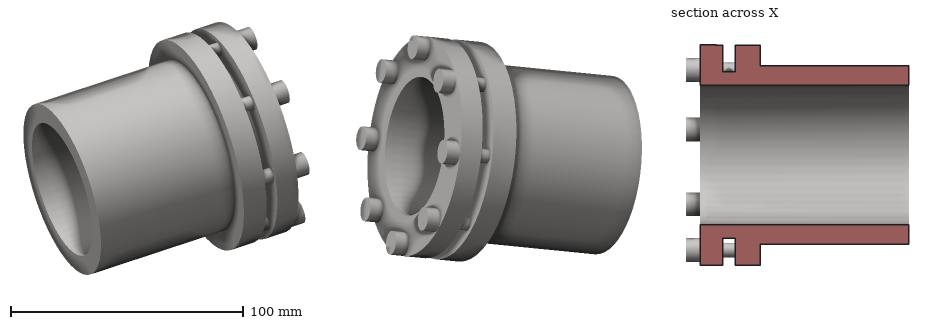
import cadquery as cq

length = 96.0
flange_diameter = 95.0
bore_diameter = 60.0

pipe_diameter = 77.2
pipe_length = 63.9
flange_thickness = 10.8
gap_width = 5.2
head_height = 6.0
cover_thickness = length - pipe_length - flange_thickness - gap_width - head_height

gasket_diameter = 72.0

bolt_count = 8
bolt_circle_radius = 42.3
first_bolt_angle = 15.0
head_diameter = 10.3
shank_diameter = 6.1

flange_start = pipe_length
gap_start = flange_start + flange_thickness
cover_start = gap_start + gap_width
head_start = cover_start + cover_thickness


def plane_at(y):
    """Work plane normal to the pipe axis, with local x along X and local y along Z."""
    return cq.Workplane("XZ", origin=(0, y, 0))


def disc(y, thickness, diameter):
    """Solid disc on the pipe axis, growing towards +Y from y."""
    return plane_at(y).circle(diameter / 2).extrude(-thickness)


def bolt_cylinders(y, height, diameter):
    """One cylinder at every bolt position, growing towards +Y from y."""
    return (
        plane_at(y)
        .polarArray(bolt_circle_radius, first_bolt_angle, 360, bolt_count)
        .circle(diameter / 2)
        .extrude(-height)
    )


body = disc(0, pipe_length, pipe_diameter)
body = body.union(disc(flange_start, flange_thickness, flange_diameter))
body = body.union(disc(gap_start, gap_width, gasket_diameter))
body = body.union(disc(cover_start, cover_thickness, flange_diameter))

body = body.union(bolt_cylinders(gap_start, gap_width, shank_diameter))
body = body.union(bolt_cylinders(head_start, head_height, head_diameter))

bore = disc(0, length, bore_diameter)
result = body.cut(bore)